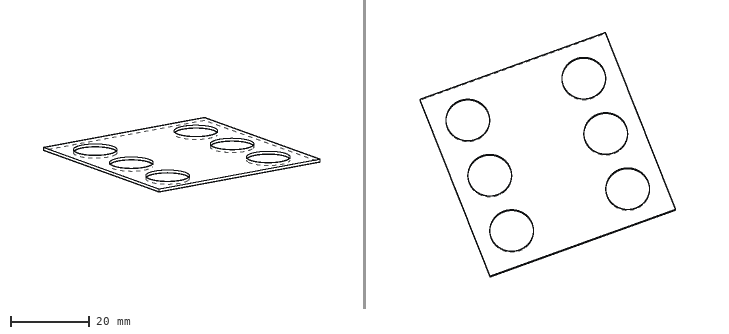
import cadquery as cq

plate_side = 50.8
plate_thickness = 0.79
hole_diameter = 11.18
hole_pitch_x = 15.875
holes_per_row = 3
row_spacing_y = 2 * hole_pitch_x
row_count = 2


def square_plate():
    """Thin square sheet centred on the origin."""
    return cq.Workplane("XY").box(plate_side, plate_side, plate_thickness)


def cut_hole_rows(plate):
    """Two rows of through holes, centred on the plate."""
    return (
        plate.faces(">Z")
        .workplane()
        .rarray(hole_pitch_x, row_spacing_y, holes_per_row, row_count)
        .hole(hole_diameter)
    )


result = cut_hole_rows(square_plate())